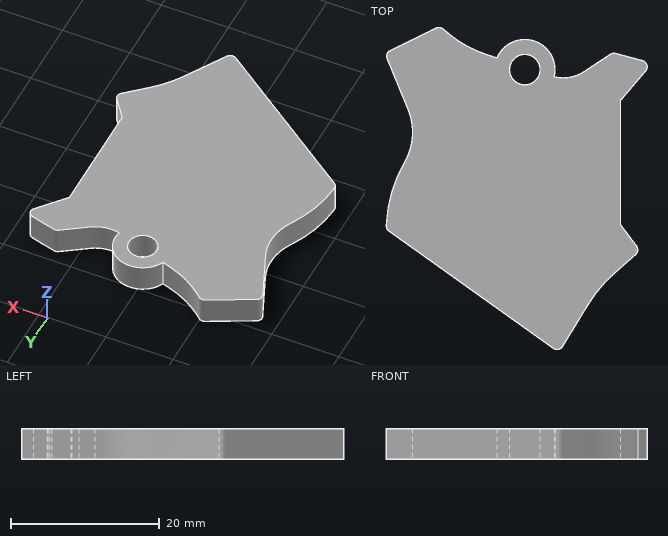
import cadquery as cq

thickness = 4.12

corner_radius = 0.85
sharp = 0
outline_corners = [
    (23.27, -0.35, corner_radius),
    (28.65, 8.45, 17.35),
    (34.2, 13.37, corner_radius),
    (31.55, 16.9, sharp),
    (31.55, 33.6, sharp),
    (35.85, 38.65, corner_radius),
    (30.52, 40.08, corner_radius),
    (24.6, 36.15, 5.0),
    (10.65, 40.75, 15.2),
    (7.2, 43.65, corner_radius),
    (-0.2, 40.0, corner_radius),
    (4.45, 28.75, 8.1),
    (0.2, 21.4, 18.25),
    (-0.05, 16.3, corner_radius),
]

ring_center = (18.65, 37.78)
ring_radius = 4.1
hole_radius = ring_radius / 2


def make_plate():
    """Extrude the sharp outline, then round each upright edge by its own radius."""
    points = [(x, y) for x, y, _ in outline_corners]
    plate = cq.Workplane("XY").polyline(points).close().extrude(thickness)
    for x, y, radius in outline_corners:
        if radius > 0:
            edge = cq.selectors.NearestToPointSelector((x, y, thickness / 2))
            plate = plate.edges("|Z").edges(edge).fillet(radius)
    return plate


def disc(radius):
    """Cylinder of full plate thickness on the ring axis."""
    return cq.Workplane("XY").center(*ring_center).circle(radius).extrude(thickness)


result = make_plate().union(disc(ring_radius)).cut(disc(hole_radius))